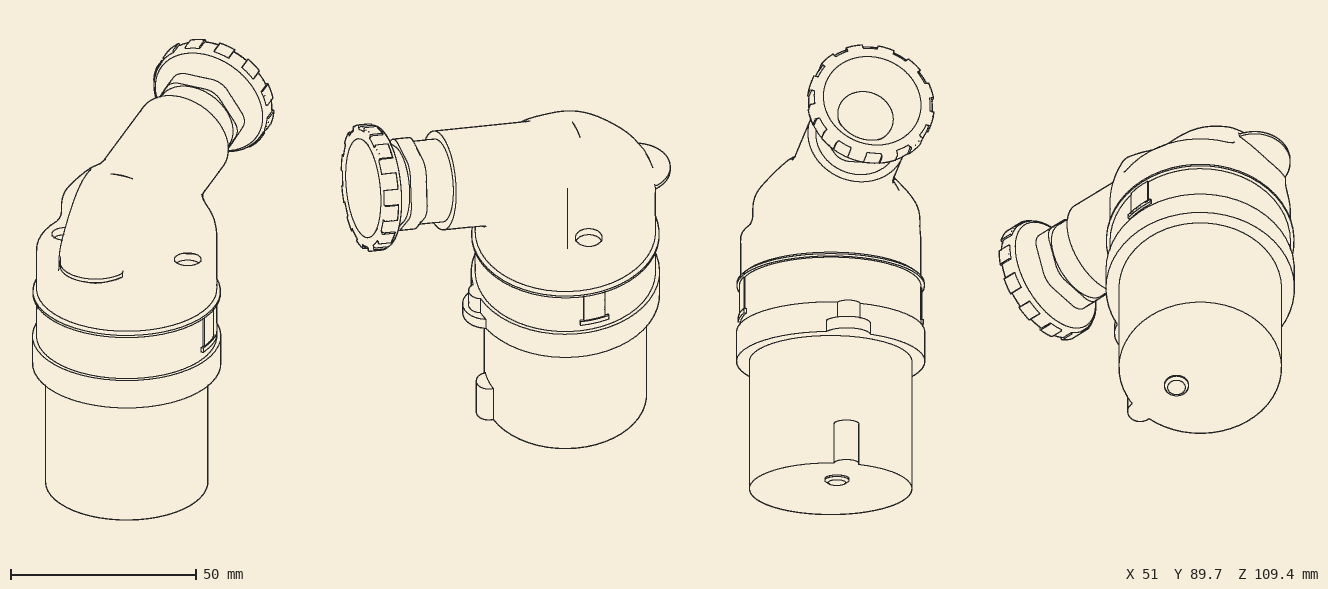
import cadquery as cq
import math

SHELL_RADIUS = 22.0
COLLAR_RADIUS = 25.5
COLLAR_BOTTOM = 36.3
COLLAR_TOP = 44.7
COLLAR_LUG_RADIUS = 3.3
COLLAR_LUG_REACH = 27.4
COLLAR_STOP_RADIUS = 6.5
COLLAR_STOP_REACH = 29.0
COLLAR_STOP_HEIGHT = 3.3
KEY_RADIUS = 3.4
KEY_REACH = 25.3
KEY_HEIGHT = 11.3
PIN_OFFSET = 8.6
PIN_RADIUS = 3.3
PIN_TIP_RADIUS = 2.4
PIN_PROTRUSION = 1.1
PIN_BEVEL_HEIGHT = 0.7

DRUM_RADIUS = 24.4
DOME_START = 75.4
DOME_SHAPE = [(20.7, 83.9), (14.4, 90.4)]
DOME_TOP = 95.7
DOME_TOP_SLOPE = 0.06
RIM_RADIUS = 25.4
RIM_BOTTOM = 57.8
RIM_FLAT = 0.7
RIM_HEIGHT = 1.4

LATCH_WIDTH = 6.0
LATCH_RADIUS = 24.7
LATCH_FOOT_WIDTH = 8.1
LATCH_FOOT_RADIUS = 25.0
LATCH_FOOT_HEIGHT = 1.3
LATCH_BOTTOM = 47.2

POCKET_FLOOR = 72.2
POCKET_CORNER = (11.5, 3.4)
POCKET_SIDE_TAPER = 3.3
POCKET_BACK_SLOPE = 18.0
POCKET_CORNER_FILLET = 4.6
POCKET_FLOOR_FILLET = 1.9
POCKET_EDGE_FILLET = 1.0
SCREW_HOLE_RADIUS = 3.6
SCREW_HOLE_DEPTH = 2.2
SCREW_HOLES = [(18.0, 0.3), (-18.0, -0.5)]

LIP_RADIUS = 9.6
LIP_TIP_Y = -29.4
LIP_TOP = 77.0
LIP_EDGE = 1.1
LIP_UNDERSIDE_ANGLE = 30.0
LIP_TOP_FILLET = 0.9

NECK_TILT = 9.0
NECK_AXIS_Z = 82.4
NECK_RADIUS = 13.5
NECK_START = -1.1
NECK_END = 36.6
NECK_FILLET = 5.5
GLAND_RADIUS = 11.3
NUT_SIDES = 6
NUT_START = 44.4
NUT_LENGTH = 4.6
NUT_ACROSS_FLATS = 23.1
NUT_CORNER_FILLET = 5.0
BELL_THROAT_RADIUS = 10.6
BELL_CURVE_MIDDLE = (12.7, 51.4)
BELL_FLARE_RADIUS = 16.0
BELL_RING_START = 53.4
BELL_RING_END = 58.4
BELL_RING_RADIUS = 16.7
BELL_RING_ROUNDING = 0.9
BELL_MOUTH_RADIUS = 13.5
BELL_BORE_RADIUS = 7.7
BELL_BORE_CURVE_MIDDLE = (9.8, 54.1)
GRIP_COUNT = 12
GRIP_RADIUS = 17.2
GRIP_START = 54.6
GRIP_ROUNDING = 0.3

TILT = math.radians(NECK_TILT)
TOUCH = 0.001
NECK_DIRECTION = cq.Vector(0, math.cos(TILT), math.sin(TILT))
NECK_UP = cq.Vector(0, -math.sin(TILT), math.cos(TILT))
NECK_ORIGIN = cq.Vector(0, 0, NECK_AXIS_Z)


def cylinder(radius, bottom, top, x=0.0, y=0.0):
    return cq.Workplane("XY", origin=(x, y, bottom)).circle(radius).extrude(top - bottom)


def on_neck(distance):
    """Workplane square to the neck axis, with local X up."""
    origin = NECK_ORIGIN + NECK_DIRECTION * distance
    return cq.Workplane(cq.Plane(origin, xDir=NECK_UP, normal=NECK_DIRECTION))


def neck_profile():
    """Workplane through the neck axis: local X is the radius, local Y the distance along the axis."""
    return cq.Workplane(cq.Plane(NECK_ORIGIN, xDir=NECK_UP, normal=(-1, 0, 0)))


def make_plug_insert():
    """Shell with its collar, collar lug and stop, key rib and the bevelled pin tip at its end face."""
    shell = cylinder(SHELL_RADIUS, 0, COLLAR_BOTTOM)
    collar = cylinder(COLLAR_RADIUS, COLLAR_BOTTOM, COLLAR_TOP)
    lug = cylinder(COLLAR_LUG_RADIUS, COLLAR_BOTTOM, COLLAR_TOP, y=COLLAR_LUG_REACH - COLLAR_LUG_RADIUS)
    stop = cylinder(
        COLLAR_STOP_RADIUS,
        COLLAR_BOTTOM,
        COLLAR_BOTTOM + COLLAR_STOP_HEIGHT,
        y=COLLAR_STOP_REACH - COLLAR_STOP_RADIUS,
    )
    key = cylinder(KEY_RADIUS, 0, KEY_HEIGHT, y=KEY_REACH - KEY_RADIUS)
    pin_tip = (
        cylinder(PIN_RADIUS, -PIN_PROTRUSION, 0, y=PIN_OFFSET)
        .faces("<Z")
        .chamfer(PIN_BEVEL_HEIGHT, PIN_RADIUS - PIN_TIP_RADIUS)
    )
    return shell.union(collar).union(lug).union(stop).union(key).union(pin_tip)


def make_drum_and_dome():
    """Body of revolution about Z: straight drum closed by a dome tangent to it."""
    profile_plane = cq.Plane((0, 0, 0), xDir=(0, -1, 0), normal=(-1, 0, 0))
    return (
        cq.Workplane(profile_plane)
        .moveTo(0, COLLAR_TOP)
        .lineTo(DRUM_RADIUS, COLLAR_TOP)
        .lineTo(DRUM_RADIUS, DOME_START)
        .spline(
            [*DOME_SHAPE, (0, DOME_TOP)],
            tangents=[(0, 1), (-1, DOME_TOP_SLOPE)],
            includeCurrent=True,
        )
        .close()
        .revolve(360, (0, 0), (0, 1))
    )


def add_neck(body):
    neck = on_neck(NECK_START).circle(NECK_RADIUS).extrude(NECK_END - NECK_START)
    joined = body.union(neck)
    seam = joined.edges("%BSPLINE").filter(lambda edge: edge.Center().y > 0)
    return seam.fillet(NECK_FILLET)


def make_pocket_cutter():
    """Space beside the dome on the +X side: open outwards, upwards and to the front."""
    corner_x, corner_y = POCKET_CORNER
    reach = 2 * DRUM_RADIUS
    front_x = corner_x - reach * math.tan(math.radians(POCKET_SIDE_TAPER))
    back_y = corner_y + reach * math.tan(math.radians(POCKET_BACK_SLOPE))
    return (
        cq.Workplane("XY", origin=(0, 0, POCKET_FLOOR))
        .moveTo(corner_x, corner_y)
        .lineTo(front_x, corner_y - reach)
        .lineTo(corner_x + reach, corner_y - reach)
        .lineTo(corner_x + reach, back_y)
        .close()
        .extrude(reach)
        .edges(cq.NearestToPointSelector((corner_x, corner_y, POCKET_FLOOR + reach / 2)))
        .fillet(POCKET_CORNER_FILLET)
        .faces("<Z")
        .edges()
        .fillet(POCKET_FLOOR_FILLET)
    )


def round_pocket_rim(pocketed, uncut, cutter):
    """Round the edges where the pocket breaks through the outer surface."""
    outer_surface = uncut.val().Shells()[0]

    def is_on_rim(edge):
        middle = cq.Vertex.makeVertex(*edge.positionAt(0.5).toTuple())
        return cutter.val().distance(middle) < TOUCH and outer_surface.distance(middle) < TOUCH

    return pocketed.edges().filter(is_on_rim).fillet(POCKET_EDGE_FILLET)


def cut_pockets(body):
    right_cutter = make_pocket_cutter()
    for cutter in (right_cutter, right_cutter.mirror("YZ")):
        body = round_pocket_rim(body.cut(cutter), body, cutter)
    return body


def drill_screw_holes(body):
    for x, y in SCREW_HOLES:
        body = body.cut(cylinder(SCREW_HOLE_RADIUS, POCKET_FLOOR - SCREW_HOLE_DEPTH, POCKET_FLOOR, x, y))
    return body


def make_rim():
    """Bead around the drum with a bevelled upper side."""
    return (
        cylinder(RIM_RADIUS, RIM_BOTTOM, RIM_BOTTOM + RIM_HEIGHT)
        .faces(">Z")
        .chamfer(RIM_HEIGHT - RIM_FLAT, RIM_RADIUS - DRUM_RADIUS)
    )


def latch_pad(radius, width, bottom, top):
    """Strip across the drum whose curved ends stand proud as pads on its -X and +X sides."""
    band = cq.Workplane("XY").box(2 * COLLAR_RADIUS, width, top - bottom).translate((0, 0, (bottom + top) / 2))
    return cylinder(radius, bottom, top).intersect(band)


def make_latches():
    arms = latch_pad(LATCH_RADIUS, LATCH_WIDTH, LATCH_BOTTOM, RIM_BOTTOM)
    feet = latch_pad(LATCH_FOOT_RADIUS, LATCH_FOOT_WIDTH, LATCH_BOTTOM, LATCH_BOTTOM + LATCH_FOOT_HEIGHT)
    return arms.union(feet)


def make_thumb_lip():
    """Round lip with a conical underside."""
    cone_height = LIP_RADIUS * math.tan(math.radians(LIP_UNDERSIDE_ANGLE))
    lip_underside = LIP_TOP - LIP_EDGE
    return (
        cq.Workplane("XZ", origin=(0, LIP_TIP_Y + LIP_RADIUS, 0))
        .moveTo(0, lip_underside - cone_height)
        .lineTo(LIP_RADIUS, lip_underside)
        .lineTo(LIP_RADIUS, LIP_TOP)
        .lineTo(0, LIP_TOP)
        .close()
        .revolve(360, (0, 0), (0, 1))
    )


def add_thumb_lip(body):
    root = cq.NearestToPointSelector((0, -DRUM_RADIUS, LIP_TOP))
    return body.union(make_thumb_lip()).edges(root).fillet(LIP_TOP_FILLET)


def make_nut():
    """Hexagonal gland nut with well-rounded corners and one flat facing up."""
    return (
        on_neck(NUT_START)
        .polygon(NUT_SIDES, NUT_ACROSS_FLATS, circumscribed=True)
        .extrude(NUT_LENGTH)
        .edges(cq.ParallelDirSelector(NECK_DIRECTION))
        .fillet(NUT_CORNER_FILLET)
    )


def make_band(outer_radius, inner_radius, start, end, rounding):
    """Ring about the neck axis with rounded outer edges."""
    return (
        neck_profile()
        .moveTo(inner_radius, start)
        .lineTo(outer_radius - rounding, start)
        .radiusArc((outer_radius, start + rounding), -rounding)
        .lineTo(outer_radius, end - rounding)
        .radiusArc((outer_radius - rounding, end), -rounding)
        .lineTo(inner_radius, end)
        .close()
        .revolve(360, (0, 0), (0, 1))
    )


def make_bell():
    """Trumpet-shaped mouth with an open bore, edged by a rounded ring."""
    nut_end = NUT_START + NUT_LENGTH
    trumpet = (
        neck_profile()
        .moveTo(BELL_BORE_RADIUS, nut_end)
        .lineTo(BELL_THROAT_RADIUS, nut_end)
        .threePointArc(BELL_CURVE_MIDDLE, (BELL_FLARE_RADIUS, BELL_RING_START))
        .lineTo(BELL_FLARE_RADIUS, BELL_RING_END)
        .lineTo(BELL_MOUTH_RADIUS, BELL_RING_END)
        .threePointArc(BELL_BORE_CURVE_MIDDLE, (BELL_BORE_RADIUS, nut_end))
        .close()
        .revolve(360, (0, 0), (0, 1))
    )
    ring = make_band(
        BELL_RING_RADIUS, BELL_MOUTH_RADIUS, BELL_RING_START, BELL_RING_END, BELL_RING_ROUNDING
    )
    return trumpet.union(ring)


def make_grips():
    """Raised pads spaced evenly around the bell ring, as wide as the gaps between them."""
    pad_angle = 180.0 / GRIP_COUNT
    pad_width = 2 * GRIP_RADIUS * math.sin(math.radians(pad_angle / 2))
    band = make_band(GRIP_RADIUS, BELL_FLARE_RADIUS, GRIP_START, BELL_RING_END, GRIP_ROUNDING)
    sectors = (
        on_neck(GRIP_START)
        .transformed(rotate=(0, 0, pad_angle))
        .polarArray(GRIP_RADIUS, 0, 360, GRIP_COUNT)
        .rect(GRIP_RADIUS / 2, pad_width)
        .extrude(BELL_RING_END - GRIP_START)
    )
    return band.intersect(sectors)


def make_housing():
    body = cut_pockets(add_thumb_lip(add_neck(make_drum_and_dome())))
    body = drill_screw_holes(body)
    body = body.union(make_rim()).union(make_latches())
    gland_tube = on_neck(NECK_END).circle(GLAND_RADIUS).extrude(NUT_START - NECK_END)
    return body.union(gland_tube).union(make_nut()).union(make_bell()).union(make_grips())


housing = make_housing()
plug_insert = make_plug_insert()
result = cq.Compound.makeCompound([housing.val(), plug_insert.val()])